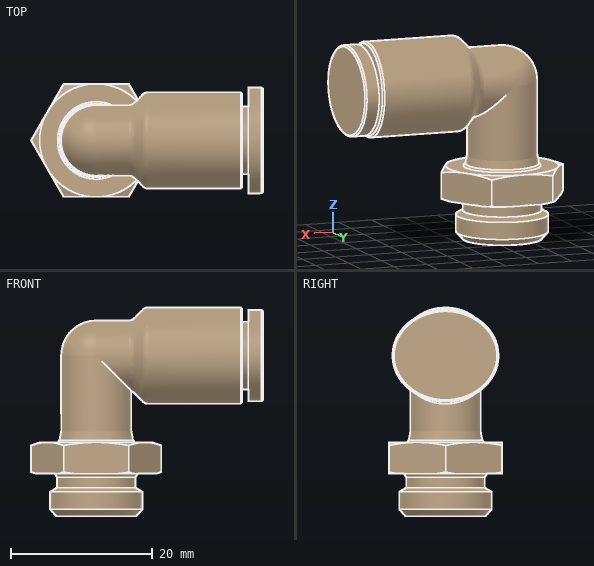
import cadquery as cq
import math


overall_length = 32.85
pipe_radius = 5.0
socket_radius = 6.83
elbow_height = 22.75

plug_radius = 6.57
plug_tip_radius = 5.65
plug_chamfer_top = 1.02
plug_top = 3.48
neck_radius = 5.58
neck_bottom = 4.07
neck_top = 5.55
neck_flare_radius = 5.88

hex_flats = 16.0
hex_bottom = 6.05
hex_top = 10.48
hex_corner_radius = hex_flats / math.sqrt(3)
hex_top_face_radius = 8.0
hex_top_chamfer = 0.43
hex_bottom_face_radius = 8.55
hex_bottom_chamfer = 0.23

collar_foot_radius = 5.5
collar_radius = 5.22
collar_foot_top = 10.8
collar_top = 12.05

cone_start = 5.05
cone_end = cone_start + socket_radius - pipe_radius
cone_fillet = 1.0
socket_end = 20.7
socket_chamfer = 0.25

button_end = overall_length - hex_corner_radius
button_thickness = 2.07
button_start = button_end - button_thickness
button_width = 15.05
button_height = 12.97
button_chamfer = 0.23
button_neck_radius = 4.83


def revolve_about_z(profile):
    """Turn (radius, z) points about the Z axis; the profile closes on the axis."""
    return cq.Workplane("XZ").polyline(profile).close().revolve(360, (0, 0), (0, 1))


def make_stem():
    """Plug, neck, collar and vertical pipe as one turned body."""
    return revolve_about_z([
        (0, 0),
        (plug_tip_radius, 0),
        (plug_radius, plug_chamfer_top),
        (plug_radius, plug_top),
        (neck_radius, neck_bottom),
        (neck_radius, neck_top),
        (neck_flare_radius, hex_bottom),
        (neck_flare_radius, hex_top),
        (collar_foot_radius, hex_top),
        (collar_radius, collar_foot_top),
        (pipe_radius, collar_top),
        (pipe_radius, elbow_height),
        (0, elbow_height),
    ])


def make_hexagon():
    """Hexagon with corners on the X axis and conical chamfers at both ends."""
    prism = (
        cq.Workplane("XY")
        .workplane(offset=hex_bottom)
        .polygon(6, 2 * hex_corner_radius)
        .extrude(hex_top - hex_bottom)
    )
    chamfer_envelope = revolve_about_z([
        (0, hex_bottom),
        (hex_bottom_face_radius, hex_bottom),
        (hex_corner_radius, hex_bottom + hex_bottom_chamfer),
        (hex_corner_radius, hex_top - hex_top_chamfer),
        (hex_top_face_radius, hex_top),
        (0, hex_top),
    ])
    return prism.intersect(chamfer_envelope)


def make_socket():
    """Horizontal pipe widening through a filleted cone into the tube socket."""
    axis = elbow_height
    profile = [
        (0, axis),
        (0, axis + pipe_radius),
        (cone_start, axis + pipe_radius),
        (cone_end, axis + socket_radius),
        (socket_end, axis + socket_radius),
        (socket_end, axis),
    ]
    body = cq.Workplane("XZ").polyline(profile).close().revolve(360, (0, axis), (1, axis))
    cone_ends = cq.selectors.BoxSelector(
        (cone_start - cone_fillet, -pipe_radius, axis - pipe_radius),
        (cone_end + cone_fillet, pipe_radius, axis + pipe_radius),
    )
    body = body.edges("%CIRCLE").edges(cone_ends).fillet(cone_fillet)
    return body.faces(">X").edges().chamfer(socket_chamfer)


def make_button():
    """Oval release button on its round neck."""
    neck = (
        cq.Workplane("YZ", origin=(socket_end, 0, elbow_height))
        .circle(button_neck_radius)
        .extrude(button_start - socket_end)
    )
    flange = (
        cq.Workplane("YZ", origin=(button_start, 0, elbow_height))
        .ellipse(button_width / 2, button_height / 2)
        .extrude(button_thickness)
        .faces(">X")
        .edges()
        .chamfer(button_chamfer)
    )
    return neck.union(flange)


corner_ball = cq.Workplane("XY", origin=(0, 0, elbow_height)).sphere(pipe_radius)

result = (
    make_stem()
    .union(make_hexagon())
    .union(corner_ball)
    .union(make_socket())
    .union(make_button())
)